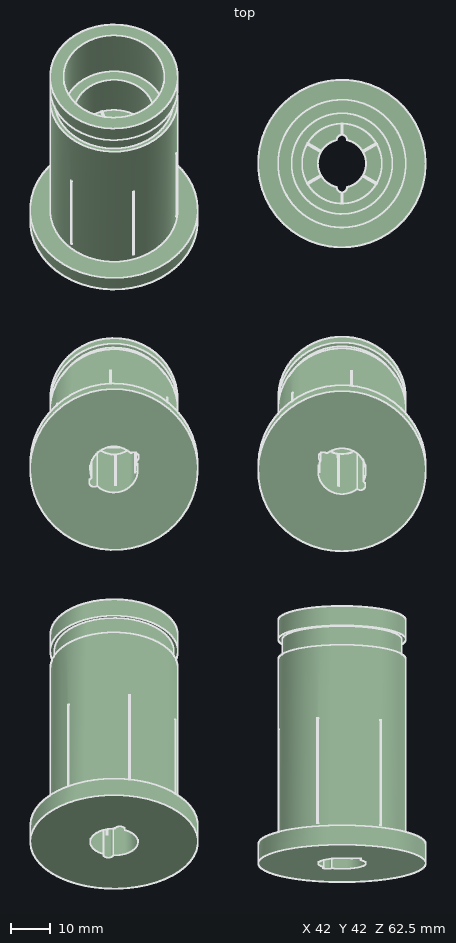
import cadquery as cq

total_height = 62.5
flange_height = 5.0
collar_height = 5.0
groove_height = 5.0
slot_bottom = 7.0
slot_top = 34.0
seat_floor = 47.0
jaw_top = slot_top

flange_diameter = 42.0
body_diameter = 32.0
groove_diameter = 30.0
mouth_diameter = 25.25
chamber_diameter = 20.0
bore_diameter = 12.0

slot_count = 6
slot_width = 0.4
keyway_width = 2.5
keyway_reach = 7.2


def cylinder(diameter, bottom, top):
    """Solid cylinder on the Z axis between two heights."""
    return cq.Workplane("XY").workplane(offset=bottom).circle(diameter / 2).extrude(top - bottom)


collar_bottom = total_height - collar_height
groove_bottom = collar_bottom - groove_height
sleeve = cylinder(body_diameter, 0, total_height).union(cylinder(flange_diameter, 0, flange_height))
groove = cylinder(body_diameter, groove_bottom, collar_bottom).cut(
    cylinder(groove_diameter, groove_bottom, collar_bottom)
)
sleeve = sleeve.cut(groove)

sleeve = sleeve.cut(cylinder(bore_diameter, 0, total_height))
sleeve = sleeve.cut(cylinder(chamber_diameter, jaw_top, total_height))
sleeve = sleeve.cut(cylinder(mouth_diameter, seat_floor, total_height))

keyways = (
    cq.Workplane("XY")
    .slot2D(2 * keyway_reach, keyway_width, 90)
    .extrude(total_height)
)
sleeve = sleeve.cut(keyways)

slot_start = bore_diameter / 4
slot_length = body_diameter / 2
slot = (
    cq.Workplane("XY")
    .box(slot_width, slot_length, slot_top - slot_bottom, centered=(True, False, False))
    .translate((0, slot_start, slot_bottom))
)
for index in range(slot_count):
    sleeve = sleeve.cut(slot.rotate((0, 0, 0), (0, 0, 1), index * 360 / slot_count))

result = sleeve